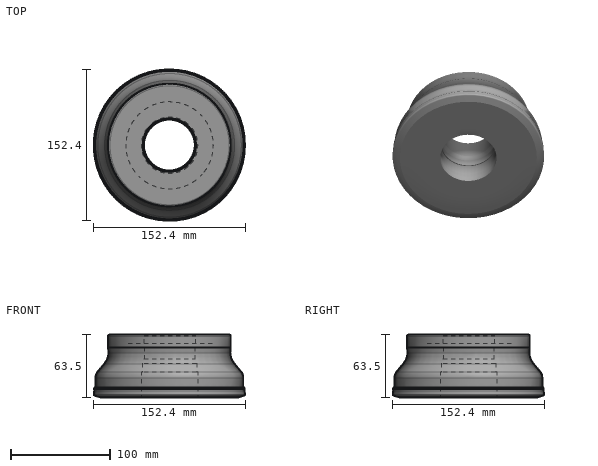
import cadquery as cq
import math

outer_radius = 76.2
total_height = 63.5

cap_radius = 61.9
cap_bore_radius = 25.9
cap_edge_fillet = 2.0
cap_bore_chamfer = 1.0
skirt_height = 12.8
plate_thickness = 8.7

neck_top_chamfer = 0.3
neck_radius = 61.4
neck_height = 5.5
shoulder_radius = 74.5
shoulder_angle = math.radians(40)
neck_blend = 17.0
shoulder_blend = 9.9

lip_top_radius = 75.1
lip_top = 10.4
lip_chamfer_top = 10.0
lip_radius = 75.9
lip_chamfer_bottom = 9.1
lip_bottom = 8.7
band_top_radius = 75.6
band_middle_radius = 75.7
band_middle = 7.2
band_taper = math.radians(4)
rim_round = 1.5
rim_round_height = 3.5
foot_bevel_angle = math.radians(18)

bore_radius = 25.5
bore_taper_top = 39.3
bore_taper_bottom = 34.5
lower_bore_radius = 27.5
foot_bore_radius = 28.3
foot_bore_top = 25.9

skirt_bottom = total_height - skirt_height
spigot_top = total_height - plate_thickness
spigot_radius = (cap_bore_radius + cap_radius) / 2


def revolve_profile(profile):
    """Turn a closed half-section (radius, height) about the Z axis."""
    return profile.close().revolve(360, (0, 0, 0), (0, 1, 0))


def make_cap():
    cap = revolve_profile(
        cq.Workplane("XZ")
        .moveTo(cap_bore_radius, spigot_top)
        .lineTo(spigot_radius, spigot_top)
        .lineTo(spigot_radius, skirt_bottom)
        .lineTo(cap_radius, skirt_bottom)
        .lineTo(cap_radius, total_height)
        .lineTo(cap_bore_radius, total_height)
    )
    cap = cap.faces(">Z").edges(cq.selectors.RadiusNthSelector(-1)).fillet(cap_edge_fillet)
    return cap.faces(">Z").edges(cq.selectors.RadiusNthSelector(0)).chamfer(cap_bore_chamfer)


def flare_points():
    """Start, middle and end points of the two arcs that blend neck into shoulder."""
    neck_bottom = skirt_bottom - neck_height

    def neck_arc(angle):
        return (
            neck_radius + neck_blend * (1 - math.cos(angle)),
            neck_bottom - neck_blend * math.sin(angle),
        )

    cone_start = neck_arc(shoulder_angle)
    cone_end_radius = shoulder_radius - shoulder_blend * (1 - math.cos(shoulder_angle))
    cone_end_height = cone_start[1] - (cone_end_radius - cone_start[0]) / math.tan(shoulder_angle)
    shoulder_bottom = cone_end_height - shoulder_blend * math.sin(shoulder_angle)

    def shoulder_arc(angle):
        return (
            shoulder_radius - shoulder_blend * (1 - math.cos(angle)),
            shoulder_bottom + shoulder_blend * math.sin(angle),
        )

    neck_curve = [neck_arc(share * shoulder_angle) for share in (0, 0.5, 1)]
    shoulder_curve = [shoulder_arc(share * shoulder_angle) for share in (1, 0.5, 0)]
    return neck_curve, shoulder_curve


def rim_points():
    """Start, middle and end points of the rim rounding, and the radius where the foot bevel ends."""

    def rim_arc(angle):
        return (
            outer_radius - rim_round * (1 - math.cos(angle)),
            rim_round_height + rim_round * math.sin(angle),
        )

    bevel_start = rim_arc(foot_bevel_angle - math.pi / 2)
    foot_radius = bevel_start[0] - bevel_start[1] / math.tan(foot_bevel_angle)
    return [rim_arc(band_taper), rim_arc(0), bevel_start], foot_radius


def make_body():
    neck_curve, shoulder_curve = flare_points()
    rim_curve, foot_radius = rim_points()
    return revolve_profile(
        cq.Workplane("XZ")
        .moveTo(bore_radius, spigot_top)
        .lineTo(spigot_radius, spigot_top)
        .lineTo(spigot_radius, skirt_bottom)
        .lineTo(cap_radius - neck_top_chamfer, skirt_bottom)
        .lineTo(cap_radius, skirt_bottom - neck_top_chamfer)
        .lineTo(*neck_curve[0])
        .threePointArc(*neck_curve[1:])
        .lineTo(*shoulder_curve[0])
        .threePointArc(*shoulder_curve[1:])
        .lineTo(shoulder_radius, lip_top)
        .lineTo(lip_top_radius, lip_top)
        .lineTo(lip_top_radius, lip_chamfer_top)
        .lineTo(lip_radius, lip_chamfer_bottom)
        .lineTo(lip_radius, lip_bottom)
        .lineTo(band_top_radius, lip_bottom)
        .lineTo(band_middle_radius, band_middle)
        .lineTo(*rim_curve[0])
        .threePointArc(*rim_curve[1:])
        .lineTo(foot_radius, 0)
        .lineTo(foot_bore_radius, 0)
        .lineTo(foot_bore_radius, foot_bore_top)
        .lineTo(lower_bore_radius, foot_bore_top)
        .lineTo(lower_bore_radius, bore_taper_bottom)
        .lineTo(bore_radius, bore_taper_top)
    )


cap = make_cap()
body = make_body()
result = cq.Compound.makeCompound([cap.val(), body.val()])